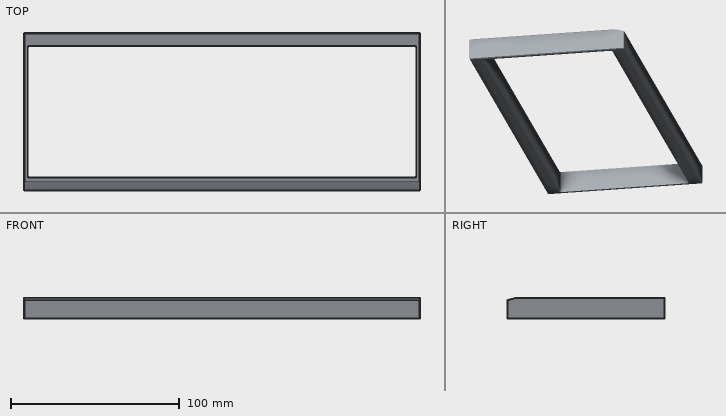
import cadquery as cq

length = 235.0
width = 93.5
height = 12.7

end_wall = 2.3
long_wall = 8.0

bevel_depth = 5.6
bevel_drop = 1.6

edge_break = 0.5

window_length = length - 2 * end_wall
window_width = width - 2 * long_wall


def outer_block():
    """Solid block of the overall size with every outer edge chamfered."""
    block = cq.Workplane("XY").box(length, width, height, centered=(True, True, False))
    return block.edges().chamfer(edge_break)


def front_bevel():
    """Wedge above the sloping top of the front wall, running the full length."""
    front = -width / 2
    wedge = (
        cq.Workplane("YZ")
        .moveTo(front, height - bevel_drop)
        .lineTo(front + bevel_depth, height)
        .lineTo(front, height)
        .close()
    )
    return wedge.extrude(length / 2, both=True)


def window_opening():
    """Straight opening through the frame with chamfered vertical corners."""
    opening = cq.Workplane("XY").box(
        window_length, window_width, height, centered=(True, True, False)
    )
    return opening.edges("|Z").chamfer(edge_break)


def window_flare():
    """Opening profile widened at top and bottom to chamfer the long walls' inner edges."""
    inner = window_width / 2
    flared = inner + edge_break
    back_side = [
        (flared, 0),
        (inner, edge_break),
        (inner, height - edge_break),
        (flared, height),
    ]
    front_side = [(-y, z) for y, z in reversed(back_side)]
    profile = cq.Workplane("YZ").polyline(back_side + front_side).close()
    return profile.extrude(window_length / 2 - edge_break, both=True)


result = (
    outer_block()
    .cut(front_bevel())
    .cut(window_opening())
    .cut(window_flare())
)